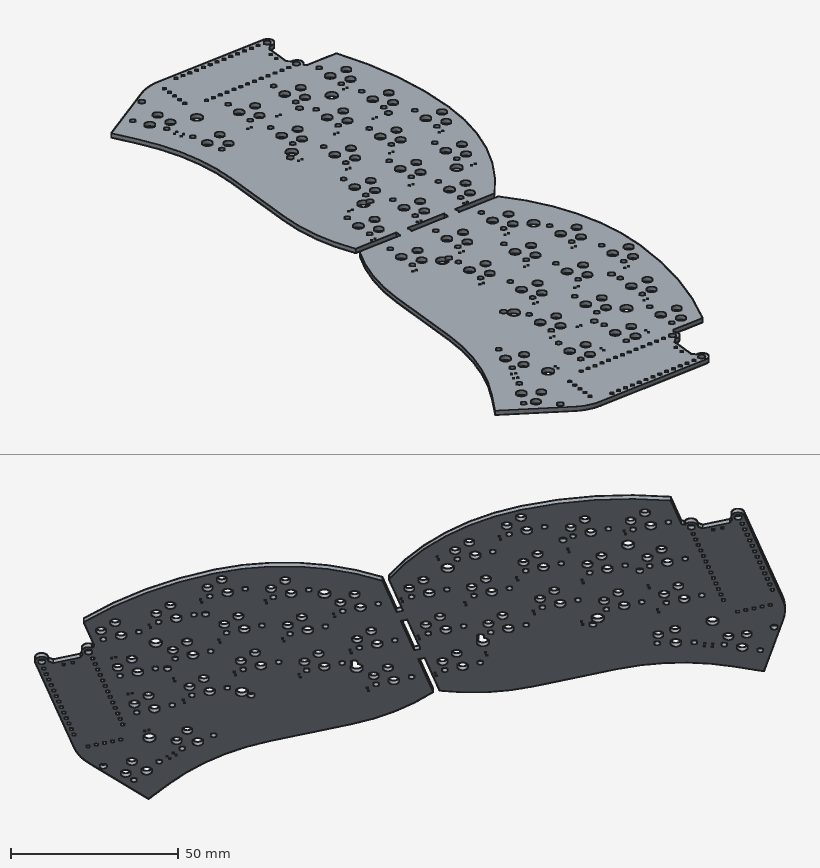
import cadquery as cq
import math


length = 221.5
width = 89.7
thickness = 1.6
gap = 2.0
outer_x = -length / 2
inner_x = -gap / 2
top_y = width / 2
apex_x = -47.9
inner_top_y = 27.0
inner_bottom_y = -24.5
tip = (-96.2, -top_y)
tip_line_end = (-88.5, -40.3)
bottom_flat_y = -31.0
bottom_flat_start_x = -54.5
bottom_flat_end_x = -28.4
side_arc_start_y = -16.5
side_arc_end = (-108.5, -24.4)

controller_x = -101.5
controller_row_spacing = 15.3
pin_count = 13
pin_row_length = 30.5
pin_row_y = 4.2
pin_pitch = pin_row_length / (pin_count - 1)
pin_diameter = 1.09
end_pin_count = 5
end_pin_y = -17.3
end_pin_diameter = 1.09
battery_pin_y = 19.5
battery_pin_spacing = 2.9
battery_pin_diameter = 0.9

ear_radius = 2.0
ear_y = 22.8
ear_offset = controller_x - (outer_x + ear_radius)
ear_hole_diameter = 2.2
ear_hole_y = 22.5
notch_bottom_y = 21.0
notch_corner = 1.0
step_x = -91.7
step_top_y = 35.7
step_bottom_y = 24.2
step_corner = 0.7

tab_height = 4.2
tab_ys = [10.5, -7.3]

rows = (-1, 0, 1)
row_span = 34.0
row_pitch = row_span / (len(rows) - 1)
column_ys = [0.7, 12.6, 18.6, 12.2, 9.8]
column_span = 72.0
column_pitch = column_span / (len(column_ys) - 1)
middle_column_x = 46.8
thumb_keys = [(74.7, -25.0, 15), (93.0, -32.8, 30)]
switch_diameter = 3.3
peg_diameter = 1.8
peg_offset = 5.5
contact_diameter = 3.0
contact_offsets = [(0, 6.0), (5.0, 3.8)]

stand_diameter = 3.8
stand_holes = [(73.8, 20.5), (19.3, 26.5), (88.0, -19.0), (19.7, -7.8), (55.6, -7.8)]
screw_diameter = 2.2
screw_holes = [(73.8, 8.6), (55.8, 28.4), (104.8, -27.0), (19.7, -5.3), (53.5, -10.0)]

via_diameter = 0.5
via_spacing = 1.3
via_pairs = [
    (-74.5, 26.1, 90), (-74.2, 1.0, 90), (-73.8, -10.0, 90),
    (-56.0, 23.5, 90), (-56.0, 9.0, 90), (-50.5, -8.5, 90),
    (-38.1, 34.8, 90), (-37.7, 16.0, 90), (-38.1, 0.2, 90),
    (-17.7, 31.7, 90), (-19.7, 10.0, 90), (-19.0, -13.0, 90),
    (-2.0, 17.0, 90), (-2.0, -0.2, 90), (-2.0, -17.3, 90),
    (-84.9, -29.3, 112.5), (-82.7, -28.4, 112.5),
    (19.3, 16.6, 90), (19.3, -0.2, 90), (19.3, -17.7, 90),
    (37.0, 28.4, 90), (37.0, 10.6, 90), (37.0, -6.0, 90),
    (55.5, 34.3, 90), (55.5, 15.7, 90), (55.2, 0.7, 90),
    (73.3, 28.1, 90), (73.3, 3.3, 90), (73.3, -6.6, 90),
    (87.8, 18.0, 0), (87.8, 1.3, 0), (87.8, -15.7, 0),
    (82.9, -28.1, 67.5), (85.0, -29.0, 67.5),
]


def radius_from_apex(dx, dy):
    """Radius of an arc that leaves its apex along X and has moved by (dx, dy) at its end."""
    return (dx**2 + dy**2) / (2 * dy)


def left_half():
    """Left board with its two ears, without holes."""
    inner_radius = radius_from_apex(inner_x - apex_x, top_y - inner_top_y)
    outer_radius = radius_from_apex(apex_x - step_x, top_y - step_top_y)
    ear_left_x = controller_x - ear_offset
    ear_right_x = controller_x + ear_offset
    notch_left_x = ear_left_x + ear_radius
    notch_right_x = ear_right_x - ear_radius
    board = (
        cq.Workplane("XY")
        .moveTo(outer_x, ear_y)
        .lineTo(outer_x, side_arc_start_y)
        .tangentArcPoint(side_arc_end, relative=False)
        .lineTo(*tip)
        .lineTo(*tip_line_end)
        .tangentArcPoint((bottom_flat_start_x, bottom_flat_y), relative=False)
        .lineTo(bottom_flat_end_x, bottom_flat_y)
        .tangentArcPoint((inner_x, inner_bottom_y), relative=False)
        .lineTo(inner_x, inner_top_y)
        .radiusArc((apex_x, top_y), -inner_radius)
        .radiusArc((step_x, step_top_y), -outer_radius)
        .lineTo(step_x, step_bottom_y + step_corner)
        .lineTo(step_x - step_corner, step_bottom_y)
        .lineTo(ear_right_x, step_bottom_y)
        .lineTo(ear_right_x, ear_y)
        .lineTo(notch_right_x, ear_y)
        .lineTo(notch_right_x, notch_bottom_y + notch_corner)
        .lineTo(notch_right_x - notch_corner, notch_bottom_y)
        .lineTo(notch_left_x + notch_corner, notch_bottom_y)
        .lineTo(notch_left_x, notch_bottom_y + notch_corner)
        .lineTo(notch_left_x, ear_y)
        .close()
        .extrude(thickness)
    )
    ears = (
        cq.Workplane("XY")
        .pushPoints([(ear_left_x, ear_y), (ear_right_x, ear_y)])
        .circle(ear_radius)
        .extrude(thickness)
    )
    return board.union(ears)


def tabs():
    """Bridges across the gap, flush with both faces of the board."""
    return (
        cq.Workplane("XY")
        .pushPoints([(0, y) for y in tab_ys])
        .rect(gap, tab_height)
        .extrude(thickness)
    )


def both_sides(points):
    """The points and their mirror images across X = 0."""
    return points + [(-x, y) for x, y in points]


def switch_positions():
    """Centre and rotation of every switch."""
    keys = []
    inner_column_x = middle_column_x - column_span / 2
    for column, middle_y in enumerate(column_ys):
        x = inner_column_x + column * column_pitch
        for row in rows:
            y = middle_y + row * row_pitch
            keys += [(x, y, 0), (-x, y, 0)]
    for x, y, angle in thumb_keys:
        keys += [(x, y, -angle), (-x, y, angle)]
    return keys


def around_switches(offsets):
    """Places the offsets round every switch, turned with the switch."""
    points = []
    for x, y, angle in switch_positions():
        cos = math.cos(math.radians(angle))
        sin = math.sin(math.radians(angle))
        points += [(x + dx * cos - dy * sin, y + dx * sin + dy * cos) for dx, dy in offsets]
    return points


def controller_pins():
    points = []
    first_y = pin_row_y - pin_row_length / 2
    for side in (-1, 1):
        x = controller_x + side * controller_row_spacing / 2
        points += [(x, first_y + i * pin_pitch) for i in range(pin_count)]
    return both_sides(points)


def end_pins():
    first_x = controller_x - (end_pin_count - 1) / 2 * pin_pitch
    return both_sides([(first_x + i * pin_pitch, end_pin_y) for i in range(end_pin_count)])


def via_positions():
    points = []
    for x, y, angle in via_pairs:
        dx = via_spacing / 2 * math.cos(math.radians(angle))
        dy = via_spacing / 2 * math.sin(math.radians(angle))
        points += [(x - dx, y - dy), (x + dx, y + dy)]
    return points


def cutters(points, diameter):
    """Cylinders through the full thickness, one at each point."""
    return cq.Workplane("XY").pushPoints(points).circle(diameter / 2).extrude(thickness)


ear_holes = [(controller_x + side * ear_offset, ear_hole_y) for side in (-1, 1)]
battery_pins = [(controller_x + side * battery_pin_spacing / 2, battery_pin_y) for side in (-1, 1)]

hole_groups = [
    (around_switches([(0, 0)]), switch_diameter),
    (around_switches([(-peg_offset, 0), (peg_offset, 0)]), peg_diameter),
    (around_switches(contact_offsets), contact_diameter),
    (controller_pins(), pin_diameter),
    (end_pins(), end_pin_diameter),
    (both_sides(battery_pins), battery_pin_diameter),
    (both_sides(ear_holes), ear_hole_diameter),
    (both_sides(stand_holes), stand_diameter),
    (both_sides(screw_holes), screw_diameter),
    (via_positions(), via_diameter),
]

half = left_half()
result = half.union(half.mirror("YZ")).union(tabs(), clean=False)
for points, diameter in hole_groups:
    result = result.cut(cutters(points, diameter), clean=False)